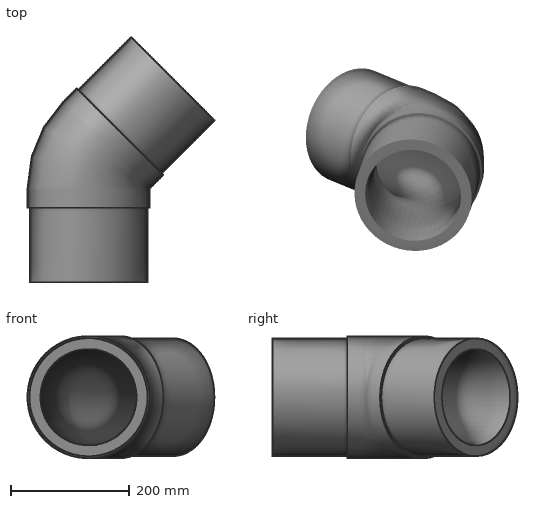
import cadquery as cq
import math

OVERALL_LENGTH = 415.5
BEND_ANGLE = 45
SPIGOT_DIAMETER = 200.0
COLLAR_DIAMETER = 207.5
BORE_DIAMETER = 163.5
COLLAR_LENGTH = 32.5

OUTER_BEND_RADIUS = 104.0
BORE_BEND_RADIUS = 82.0

angle = math.radians(BEND_ANGLE)
leg_length = (OVERALL_LENGTH - SPIGOT_DIAMETER / 2 * math.sin(angle)) / (1 + math.cos(angle))


def bend_setback(bend_radius):
    """Distance from the crossing point to where a bend meets a leg."""
    return bend_radius * math.tan(angle / 2)


def entry_leg(diameter, start, end):
    """Cylinder on the entry axis between two distances from the crossing point."""
    return cq.Workplane("XZ", origin=(0, -start, 0)).circle(diameter / 2).extrude(end - start)


def both_legs(diameter, start, end):
    """Cylinders at the same distances along the entry and exit axes."""
    entry = entry_leg(diameter, start, end)
    exit_leg = entry.mirror("XZ").rotate((0, 0, 0), (0, 0, 1), -BEND_ANGLE)
    return entry.union(exit_leg)


def bend(diameter, bend_radius):
    """Solid torus segment tangent to both leg axes."""
    return (
        cq.Workplane("XZ", origin=(0, -bend_setback(bend_radius), 0))
        .circle(diameter / 2)
        .revolve(BEND_ANGLE, (bend_radius, 4), (bend_radius, 0))
    )


collar_start = bend_setback(OUTER_BEND_RADIUS)
collar_end = collar_start + COLLAR_LENGTH
bore_start = bend_setback(BORE_BEND_RADIUS)

outer_body = (
    bend(COLLAR_DIAMETER, OUTER_BEND_RADIUS)
    .union(both_legs(COLLAR_DIAMETER, collar_start, collar_end))
    .union(both_legs(SPIGOT_DIAMETER, collar_end, leg_length))
)

result = (
    outer_body
    .cut(bend(BORE_DIAMETER, BORE_BEND_RADIUS))
    .cut(both_legs(BORE_DIAMETER, bore_start, leg_length))
)